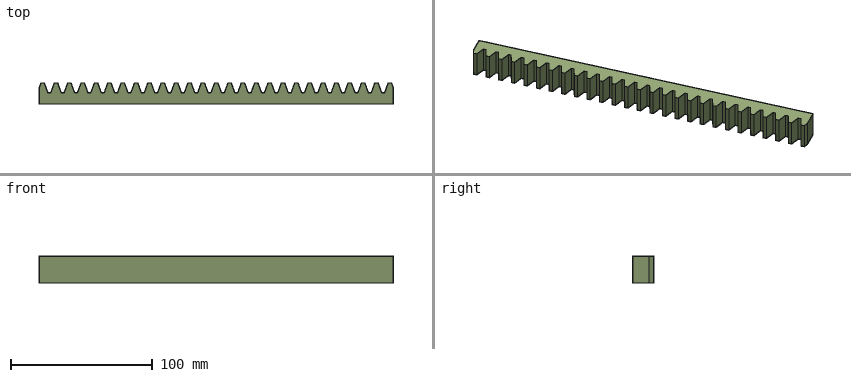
import cadquery as cq
import math

length = 250.0
width = 15.0
height = 19.0

module = 3.0
pressure_angle = math.radians(20)
tooth_count = 27
pitch = math.pi * module
addendum = module
dedendum = 1.25 * module

tip_y = width / 2
pitch_line_y = tip_y - addendum
root_y = pitch_line_y - dedendum

gap_half_at_pitch = pitch / 4
gap_half_at_tip = gap_half_at_pitch + addendum * math.tan(pressure_angle)
gap_half_at_root = gap_half_at_pitch - dedendum * math.tan(pressure_angle)


def gap_cutter(center_x):
    """Trapezoidal prism that fills the gap between two neighbouring teeth."""
    return (
        cq.Workplane("XY", origin=(center_x, 0, -height / 2))
        .polyline([
            (-gap_half_at_tip, tip_y),
            (-gap_half_at_root, root_y),
            (gap_half_at_root, root_y),
            (gap_half_at_tip, tip_y),
        ])
        .close()
        .extrude(height)
    )


result = cq.Workplane("XY").box(length, width, height)

first_gap_x = -tooth_count * pitch / 2
for index in range(tooth_count + 1):
    result = result.cut(gap_cutter(first_gap_x + index * pitch))